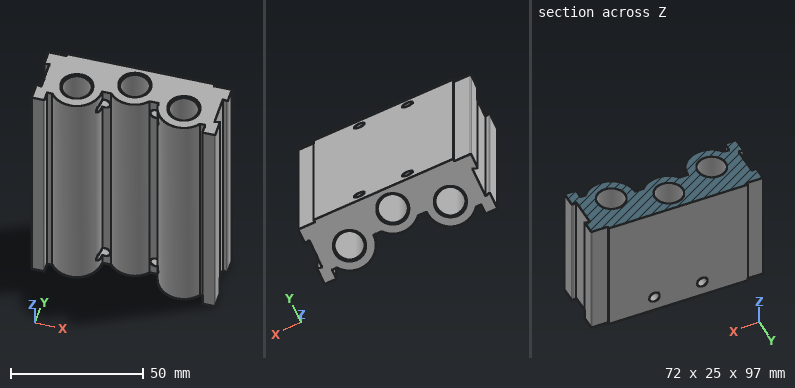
import cadquery as cq

WIDTH = 72.0
DEPTH = 25.0
LENGTH = 97.0
HALF_WIDTH = WIDTH / 2

PAD_WIDTH = 58.0
PAD_HEIGHT = 1.0

PORT_SPACING = 21.0
RIB_RADIUS = 10.0
SIDE_PORT_Y = RIB_RADIUS
MIDDLE_PORT_Y = 16.5
BORE_DIAMETER = 11.4
BORE_CHAMFER = 0.55

VALLEY_Y = 10.0
FOOT_FLOOR_Y = 4.0
FOOT_WIDTH = 5.0

SLOT_Y = 12.4
SLOT_DEPTH = 2.0
SLOT_MOUTH = 10.8
SLOT_BASE = 11.8

EDGE_RADIUS = 0.3

PICK_MARGIN = 0.1

MOUNT_DIAMETER = 4.3
MOUNT_SPACING_X = 20.0
MOUNT_SPACING_Z = 84.0

PORT_CENTRES = [
    (-PORT_SPACING, SIDE_PORT_Y),
    (0, MIDDLE_PORT_Y),
    (PORT_SPACING, SIDE_PORT_Y),
]


def profile_plane():
    return cq.Workplane("XY", origin=(0, 0, -LENGTH / 2))


def block(x_min, x_max, y_min, y_max):
    """Full-length rectangular bar between the given X and Y limits."""
    return (
        profile_plane()
        .center((x_min + x_max) / 2, (y_min + y_max) / 2)
        .rect(x_max - x_min, y_max - y_min)
        .extrude(LENGTH)
    )


def make_side_slot(side):
    """Slot cutter on the side given by the sign of X, wider at its base than at its mouth."""
    mouth_x = side * HALF_WIDTH
    base_x = side * (HALF_WIDTH - SLOT_DEPTH)
    return (
        profile_plane()
        .moveTo(mouth_x, SLOT_Y - SLOT_MOUTH / 2)
        .lineTo(base_x, SLOT_Y - SLOT_BASE / 2)
        .lineTo(base_x, SLOT_Y + SLOT_BASE / 2)
        .lineTo(mouth_x, SLOT_Y + SLOT_MOUTH / 2)
        .close()
        .extrude(LENGTH)
    )


def make_outer_block():
    """Plain bar carrying the pad on its back face."""
    shoulder_y = DEPTH - PAD_HEIGHT
    bar = block(-HALF_WIDTH, HALF_WIDTH, 0, shoulder_y)
    pad = block(-PAD_WIDTH / 2, PAD_WIDTH / 2, shoulder_y - PAD_HEIGHT, DEPTH)
    return bar.union(pad)


def make_body():
    """Bar hollowed out on its front face, with the ribs put back around the ports."""
    foot_x = HALF_WIDTH - FOOT_WIDTH
    body = make_outer_block()
    body = body.cut(block(-foot_x, foot_x, 0, FOOT_FLOOR_Y))
    body = body.cut(block(-PORT_SPACING, PORT_SPACING, 0, VALLEY_Y))
    ribs = profile_plane().pushPoints(PORT_CENTRES).circle(RIB_RADIUS).extrude(LENGTH)
    body = body.union(ribs.intersect(block(-HALF_WIDTH, HALF_WIDTH, 0, DEPTH)))
    for side in (-1, 1):
        body = body.cut(make_side_slot(side))
    return round_long_edges(body)


def long_edges_between(x_min, x_max, y_min, y_max):
    """Selector for the edges lying inside a full-length box."""
    reach = LENGTH / 2 + PICK_MARGIN
    return cq.selectors.BoxSelector((x_min, y_min, -reach), (x_max, y_max, reach))


def round_long_edges(body):
    """Round the side corners, the slot mouths and the inner corners of the feet."""
    foot_x = HALF_WIDTH - FOOT_WIDTH
    outer = HALF_WIDTH + PICK_MARGIN
    side_x = HALF_WIDTH - PICK_MARGIN
    toe_x = foot_x - PICK_MARGIN
    picks = (
        long_edges_between(side_x, outer, -PICK_MARGIN, DEPTH)
        + long_edges_between(-outer, -side_x, -PICK_MARGIN, DEPTH)
        + long_edges_between(toe_x, outer, -PICK_MARGIN, PICK_MARGIN)
        + long_edges_between(-outer, -toe_x, -PICK_MARGIN, PICK_MARGIN)
    )
    return body.edges("|Z").edges(picks).fillet(EDGE_RADIUS)


def make_bores():
    """Through bores of the three ports, flared by a chamfer at both ends."""
    bore_radius = BORE_DIAMETER / 2
    mouth_radius = bore_radius + BORE_CHAMFER
    half_length = LENGTH / 2
    bore = (
        cq.Workplane("XZ")
        .moveTo(0, -half_length)
        .lineTo(mouth_radius, -half_length)
        .lineTo(bore_radius, -half_length + BORE_CHAMFER)
        .lineTo(bore_radius, half_length - BORE_CHAMFER)
        .lineTo(mouth_radius, half_length)
        .lineTo(0, half_length)
        .close()
        .revolve(360, (0, 0, 0), (0, 1, 0))
    )
    bores = cq.Workplane("XY")
    for x, y in PORT_CENTRES:
        bores = bores.add(bore.translate((x, y, 0)))
    return bores.combine()


def make_mounting_holes():
    return (
        cq.Workplane("XZ")
        .rarray(MOUNT_SPACING_X, MOUNT_SPACING_Z, 2, 2)
        .circle(MOUNT_DIAMETER / 2)
        .extrude(-DEPTH)
    )


result = make_body().cut(make_bores()).cut(make_mounting_holes())